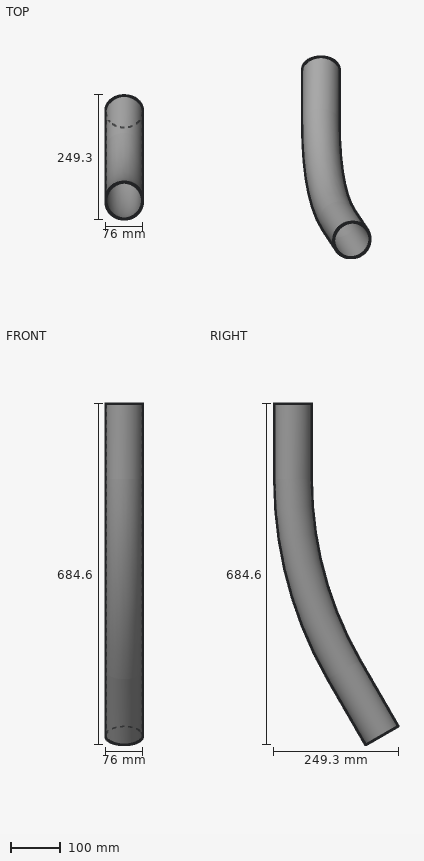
import cadquery as cq
import math

outer_diameter = 76.0
inner_diameter = 72.0
straight_length = 152.0
bend_radius = 764.0
bend_angle = 30.0


def bend_point(angle):
    """Centreline point (Y, Z) after turning by angle; the bend starts at the origin."""
    turn = math.radians(angle)
    return (
        bend_radius * (1 - math.cos(turn)),
        -bend_radius * math.sin(turn),
    )


bend_end = bend_point(bend_angle)
incline = math.radians(bend_angle)
lower_end = (
    bend_end[0] + straight_length * math.sin(incline),
    bend_end[1] - straight_length * math.cos(incline),
)
centreline = (
    cq.Workplane("YZ")
    .moveTo(0, straight_length)
    .lineTo(0, 0)
    .threePointArc(bend_point(bend_angle / 2), bend_end)
    .lineTo(*lower_end)
)

result = (
    cq.Workplane("XY", origin=(0, 0, straight_length))
    .circle(outer_diameter / 2)
    .circle(inner_diameter / 2)
    .sweep(centreline)
)